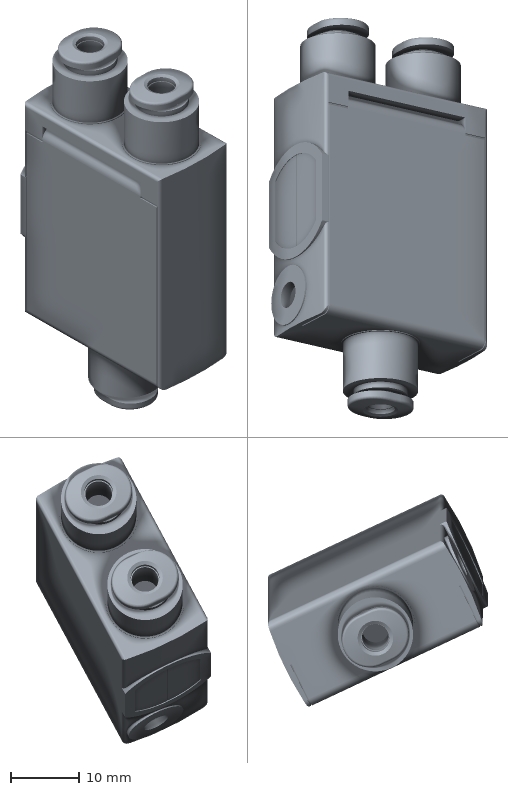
import cadquery as cq

LENGTH = 58.45
OVERALL_WIDTH = 29.6
HOUSING_HEIGHT = 37.5
HOUSING_DEPTH = 14.1
HOUSING_WIDTH = 29.45
FITTING_HEIGHT = (LENGTH - HOUSING_HEIGHT) / 2
FRONT_Y = -HOUSING_DEPTH / 2

END_BULGE = 0.5
SIDE_EDGE_RADIUS = 0.6
TOP_EDGE_RADIUS = 0.5
BOTTOM_EDGE_RADIUS = 1.2

PANEL_WIDTH = 27.25
PANEL_TOP = 32.45
PANEL_SIDE_GAP = 0.2
PANEL_TOP_GAP = 0.35
PANEL_GAP_DEPTH = 0.2
SLOT_WIDTH = 20.5
SLOT_TOP = 35.25
SLOT_LIP_RADIUS = 1.85
SLOT_BOTTOM = PANEL_TOP + PANEL_TOP_GAP

KNOB_FACE_X = HOUSING_WIDTH / 2 - OVERALL_WIDTH
KNOB_Z = 19.3
KNOB_DIAMETER = 17.55
KNOB_THICKNESS = 1.15
KNOB_RECESS_DIAMETER = 14.3
KNOB_RECESS_WIDTH = 10.8
KNOB_RECESS_DEPTH = 0.1
KNOB_SLIT_WIDTH = 0.2
KNOB_SLIT_DEPTH = 0.25
DISC_Y = 2.0
DISC_Z = 5.2
DISC_DIAMETER = 9.0
DISC_HOLE_DIAMETER = 3.9
DISC_HOLE_DEPTH = 1.65

TOP_FITTING_X = 7.5
SEAT_DIAMETER = 11.6
SEAT_HEIGHT = 0.1
BARREL_DIAMETER = 11.05
COLLAR_DIAMETER = 8.0
COLLAR_HEIGHT = 0.9
NECK_DIAMETER = 5.2
NECK_HEIGHT = 0.7
FLANGE_HEIGHT = 1.45
FLANGE_WIDTH = 8.0
FLANGE_LENGTH = 10.0
FLANGE_EDGE_RADIUS = 0.35
FLANGE_CROWN = 0.35
BARREL_HEIGHT = FITTING_HEIGHT - COLLAR_HEIGHT - NECK_HEIGHT - FLANGE_HEIGHT
MOUTH_DIAMETER = 5.2
MOUTH_CHAMFER_DEPTH = 0.25
BORE_ENTRY_DIAMETER = 4.2
BORE_ENTRY_DEPTH = 0.95
BORE_DIAMETER = 3.9
BORE_DEPTH = 7.0


def housing_shell(inset):
    """Housing with its long faces and underside moved inwards by inset."""
    half_depth = HOUSING_DEPTH / 2
    half_width = HOUSING_WIDTH / 2
    corner_x = half_width - END_BULGE
    plan = (
        cq.Workplane("XY")
        .moveTo(-corner_x, -half_depth)
        .lineTo(corner_x, -half_depth)
        .threePointArc((half_width, 0), (corner_x, half_depth))
        .lineTo(-corner_x, half_depth)
        .threePointArc((-half_width, 0), (-corner_x, -half_depth))
        .close()
        .extrude(HOUSING_HEIGHT)
        .edges("|Z")
        .fillet(SIDE_EDGE_RADIUS)
    )
    side_profile = (
        cq.Workplane("XY")
        .box(HOUSING_WIDTH, HOUSING_DEPTH - 2 * inset, HOUSING_HEIGHT - inset)
        .translate((0, 0, (HOUSING_HEIGHT + inset) / 2))
        .edges("|X and >Z")
        .fillet(TOP_EDGE_RADIUS)
        .edges("|X and <Z")
        .fillet(BOTTOM_EDGE_RADIUS - inset)
    )
    return plan.intersect(side_profile)


def front_block(width, bottom, top, depth):
    """Block centred on X, reaching depth behind the front face."""
    return (
        cq.Workplane("XY")
        .box(width, depth, top - bottom, centered=(True, False, False))
        .translate((0, FRONT_Y, bottom))
    )


def panel_gap():
    """Thin gap around the top and sides of the front panel."""
    outer_width = PANEL_WIDTH + 2 * PANEL_SIDE_GAP
    region = front_block(outer_width, 0, SLOT_BOTTOM, HOUSING_DEPTH / 2)
    panel = front_block(PANEL_WIDTH, 0, PANEL_TOP, HOUSING_DEPTH / 2)
    tab = front_block(SLOT_WIDTH, PANEL_TOP, SLOT_BOTTOM, HOUSING_DEPTH / 2)
    skin = housing_shell(0).cut(housing_shell(PANEL_GAP_DEPTH))
    return region.cut(panel).cut(tab).intersect(skin)


def finger_slot():
    """Slot above the panel, its lower lip rolled back as a quarter round."""
    floor_y = FRONT_Y + SLOT_LIP_RADIUS
    lip_top = SLOT_BOTTOM + SLOT_LIP_RADIUS
    mid_offset = SLOT_LIP_RADIUS * 0.5 ** 0.5
    return (
        cq.Workplane("YZ", origin=(-SLOT_WIDTH / 2, 0, 0))
        .moveTo(FRONT_Y, SLOT_BOTTOM)
        .threePointArc((floor_y - mid_offset, SLOT_BOTTOM + mid_offset), (floor_y, lip_top))
        .lineTo(floor_y, SLOT_TOP)
        .lineTo(FRONT_Y, SLOT_TOP)
        .close()
        .extrude(SLOT_WIDTH)
    )


def end_cylinder(y, z, diameter, depth):
    """Cylinder along X reaching depth inwards from the knob face."""
    return cq.Workplane("YZ", origin=(KNOB_FACE_X, y, z)).circle(diameter / 2).extrude(depth)


def flatted_cylinder(diameter, width, depth):
    """Knob-centred cylinder trimmed by two flats to the given width in Y."""
    flats = cq.Workplane("YZ", origin=(KNOB_FACE_X, 0, KNOB_Z)).rect(width, diameter).extrude(depth)
    return end_cylinder(0, KNOB_Z, diameter, depth).intersect(flats)


def knob():
    """Flat-sided knob with a shallow recess split by a narrow slit."""
    slit = (
        cq.Workplane("YZ", origin=(KNOB_FACE_X, 0, KNOB_Z))
        .rect(KNOB_SLIT_WIDTH, KNOB_RECESS_DIAMETER)
        .extrude(KNOB_SLIT_DEPTH)
    )
    recess = flatted_cylinder(KNOB_RECESS_DIAMETER, KNOB_RECESS_WIDTH, KNOB_RECESS_DEPTH)
    return flatted_cylinder(KNOB_DIAMETER, HOUSING_DEPTH, KNOB_THICKNESS).cut(recess).cut(slit)


def flange():
    """Oblong release flange along Y, from z = 0, with a shallow conical top and a rounded rim."""
    half_length = FLANGE_LENGTH / 2
    cone_topped_disc = (
        cq.Workplane("XZ")
        .lineTo(half_length, 0)
        .lineTo(half_length, FLANGE_HEIGHT - FLANGE_CROWN)
        .lineTo(MOUTH_DIAMETER / 2, FLANGE_HEIGHT)
        .lineTo(0, FLANGE_HEIGHT)
        .close()
        .revolve(360, (0, 0), (0, 1))
    )
    oblong = cq.Workplane("XY").slot2D(FLANGE_LENGTH, FLANGE_WIDTH, 90).extrude(FLANGE_HEIGHT)
    return oblong.intersect(cone_topped_disc).edges("not (%CIRCLE or %LINE)").fillet(FLANGE_EDGE_RADIUS)


def fitting():
    """Fitting pointing up, its seat on z = 0."""
    collar_z = BARREL_HEIGHT
    neck_z = collar_z + COLLAR_HEIGHT
    flange_z = neck_z + NECK_HEIGHT
    body = cq.Workplane("XY").circle(SEAT_DIAMETER / 2).extrude(SEAT_HEIGHT)
    body = body.union(cq.Workplane("XY").circle(BARREL_DIAMETER / 2).extrude(BARREL_HEIGHT))
    body = body.union(cq.Workplane("XY").circle(COLLAR_DIAMETER / 2).extrude(neck_z))
    body = body.union(cq.Workplane("XY").circle(NECK_DIAMETER / 2).extrude(flange_z))
    body = body.union(flange().translate((0, 0, flange_z)))
    bore_profile = (
        cq.Workplane("XZ", origin=(0, 0, FITTING_HEIGHT))
        .lineTo(MOUTH_DIAMETER / 2, 0)
        .lineTo(BORE_ENTRY_DIAMETER / 2, -MOUTH_CHAMFER_DEPTH)
        .lineTo(BORE_ENTRY_DIAMETER / 2, -BORE_ENTRY_DEPTH)
        .lineTo(BORE_DIAMETER / 2, -BORE_ENTRY_DEPTH)
        .lineTo(BORE_DIAMETER / 2, -BORE_DEPTH)
        .lineTo(0, -BORE_DEPTH)
        .close()
    )
    return body.cut(bore_profile.revolve(360, (0, 0), (0, 1)))


result = housing_shell(0).cut(panel_gap()).cut(finger_slot())

result = result.union(knob())
result = result.union(end_cylinder(DISC_Y, DISC_Z, DISC_DIAMETER, KNOB_THICKNESS))
result = result.cut(end_cylinder(DISC_Y, DISC_Z, DISC_HOLE_DIAMETER, DISC_HOLE_DEPTH))

for side in (-1, 1):
    result = result.union(fitting().translate((side * TOP_FITTING_X, 0, HOUSING_HEIGHT)))

lower_fitting = fitting().rotate((0, 0, 0), (0, 0, 1), 90).rotate((0, 0, 0), (1, 0, 0), 180)
result = result.union(lower_fitting)